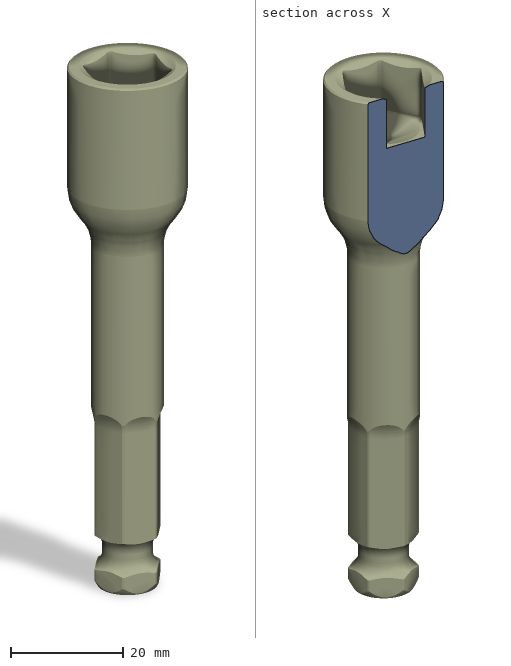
import cadquery as cq
import math

total_length = 100.0
head_diameter = 21.5
head_radius = head_diameter / 2
rim_chamfer = 0.3
head_bottom = 76.7

shank_radius = 6.5
neck_bottom = 65.8

hex_sides = 6
first_flat_angle = 30.0
hex_flats = 11.1
hex_corner_radius = 6.3
hex_top = 31.7
runout_radius = 5.0
end_radius = 5.4
end_chamfer_height = 1.5

groove_radius = 4.5
groove_bottom = 6.3
groove_top = 7.6
groove_arc_radius = 2.8

socket_flats = 14.1
socket_corner_radius = 8.0
socket_depth = 10.0
lead_in_radius = 8.6
lead_in_angle = 30.0
drill_radius = 6.5
drill_point_angle = 145.0

clearance = 1.0


def runout_points(start_radius, outer_radius):
    """Halfway point and end point of the run-out arc between two radii."""
    full_angle = math.acos(1 - (outer_radius - start_radius) / runout_radius)
    half_angle = full_angle / 2
    middle = (
        start_radius + runout_radius * (1 - math.cos(half_angle)),
        hex_top + runout_radius * math.sin(half_angle),
    )
    end = (outer_radius, hex_top + runout_radius * math.sin(full_angle))
    return middle, end


def turned_body():
    """Solid of revolution: drive end, shank, neck and head."""
    neck_middle = ((shank_radius + head_radius) / 2, (neck_bottom + head_bottom) / 2)
    runout_middle, runout_end = runout_points(hex_corner_radius, shank_radius)
    return (
        cq.Workplane("XZ")
        .lineTo(end_radius, 0)
        .lineTo(hex_corner_radius, end_chamfer_height)
        .lineTo(hex_corner_radius, hex_top)
        .threePointArc(runout_middle, runout_end)
        .lineTo(shank_radius, neck_bottom)
        .tangentArcPoint(neck_middle, relative=False)
        .tangentArcPoint((head_radius, head_bottom), relative=False)
        .lineTo(head_radius, total_length - rim_chamfer)
        .lineTo(head_radius - rim_chamfer, total_length)
        .lineTo(0, total_length)
        .close()
        .revolve(360, (0, 0, 0), (0, 1, 0))
    )


def flat_cutter():
    """Block that mills one drive flat, with an arc run-out at its upper end."""
    outer = shank_radius + clearance
    runout_middle, runout_end = runout_points(hex_flats / 2, outer)
    return (
        cq.Workplane("XZ")
        .moveTo(hex_flats / 2, -clearance)
        .lineTo(hex_flats / 2, hex_top)
        .threePointArc(runout_middle, runout_end)
        .lineTo(outer, -clearance)
        .close()
        .extrude(shank_radius, both=True)
    )


def detent_groove():
    """Ring with a short straight floor and a concave arc on each side."""
    outer = groove_radius + groove_arc_radius
    return (
        cq.Workplane("XZ")
        .moveTo(outer, groove_bottom - groove_arc_radius)
        .radiusArc((groove_radius, groove_bottom), groove_arc_radius)
        .lineTo(groove_radius, groove_top)
        .radiusArc((outer, groove_top + groove_arc_radius), groove_arc_radius)
        .close()
        .revolve(360, (0, 0, 0), (0, 1, 0))
    )


def cone_down(radius, height, top):
    """Cone with its base at the given level and its point below."""
    downward = cq.Vector(0, 0, -1)
    return cq.Workplane(cq.Solid.makeCone(radius, 0, height, cq.Vector(0, 0, top), downward))


def socket():
    """Hexagonal recess with corners on the Y axis, lead-in and drill point."""
    floor = total_length - socket_depth
    corner_limit = (
        cq.Workplane("XY", origin=(0, 0, floor))
        .circle(socket_corner_radius)
        .extrude(socket_depth)
    )
    recess = (
        cq.Workplane("XY", origin=(0, 0, floor))
        .polygon(hex_sides, socket_flats, circumscribed=True)
        .extrude(socket_depth)
        .intersect(corner_limit)
    )
    lead_in_height = lead_in_radius * math.tan(math.radians(lead_in_angle))
    lead_in = cone_down(lead_in_radius, lead_in_height, total_length)
    point_height = drill_radius / math.tan(math.radians(drill_point_angle / 2))
    drill_point = cone_down(drill_radius, point_height, floor)
    return recess.union(lead_in).union(drill_point)


result = turned_body()
for side in range(hex_sides):
    flat_angle = first_flat_angle + 360 / hex_sides * side
    result = result.cut(flat_cutter().rotate((0, 0, 0), (0, 0, 1), flat_angle))
result = result.cut(detent_groove())
result = result.cut(socket())